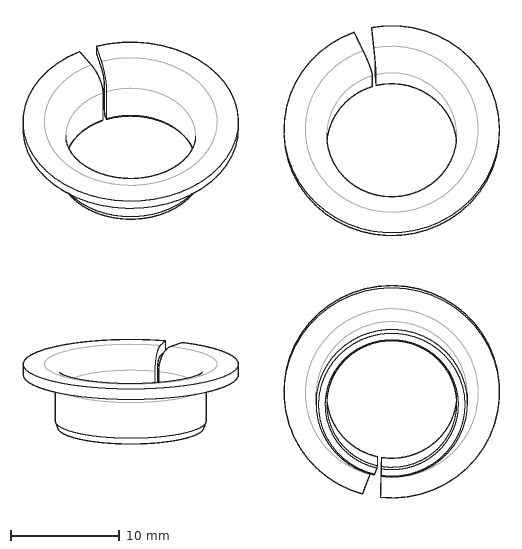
import cadquery as cq
import math

flange_radius = 9.96
height = 6.0
bore_radius = 6.0
wall = 1.0
flare_radius = 2.0
chamfer_height = 0.62
chamfer_angle = 20.0
bore_chamfer_height = 0.3
bore_chamfer_inset = 0.15

slit_width_at_bore = 0.35
slit_half_angle = 9.6
slit_overrun = 2.0

sleeve_radius = bore_radius + wall
neck_radius = flare_radius - wall
flare_center_x = bore_radius + flare_radius
flare_center_z = height - flare_radius
chamfer_inset = chamfer_height * math.tan(math.radians(chamfer_angle))
diagonal = math.sqrt(0.5)


def flare_point(radius):
    """Middle of a quarter arc about the common center of the flare and neck."""
    return (flare_center_x - radius * diagonal, flare_center_z + radius * diagonal)


def make_body():
    """Revolve the wall section around the Z axis, with its seam where the slit is cut."""
    section = (
        cq.Workplane("XZ")
        .moveTo(bore_radius, bore_chamfer_height)
        .lineTo(bore_radius + bore_chamfer_inset, 0)
        .lineTo(sleeve_radius - chamfer_inset, 0)
        .lineTo(sleeve_radius, chamfer_height)
        .lineTo(sleeve_radius, flare_center_z)
        .threePointArc(flare_point(neck_radius), (flare_center_x, height - wall))
        .lineTo(flange_radius, height - wall)
        .lineTo(flange_radius, height)
        .lineTo(flare_center_x, height)
        .threePointArc(flare_point(flare_radius), (bore_radius, flare_center_z))
        .close()
    )
    ring = section.revolve(360, (0, 0, 0), (0, 1, 0))
    return ring.rotate((0, 0, 0), (0, 0, 1), 180)


def make_slit():
    """Wedge that opens outward from a point inside the bore."""
    slope = math.tan(math.radians(slit_half_angle))
    apex_x = -bore_radius + slit_width_at_bore / 2 / slope
    outer_x = -(flange_radius + slit_overrun)
    outer_half_width = (apex_x - outer_x) * slope
    return (
        cq.Workplane("XY")
        .moveTo(apex_x, 0)
        .lineTo(outer_x, outer_half_width)
        .lineTo(outer_x, -outer_half_width)
        .close()
        .extrude(height)
    )


result = make_body().cut(make_slit())